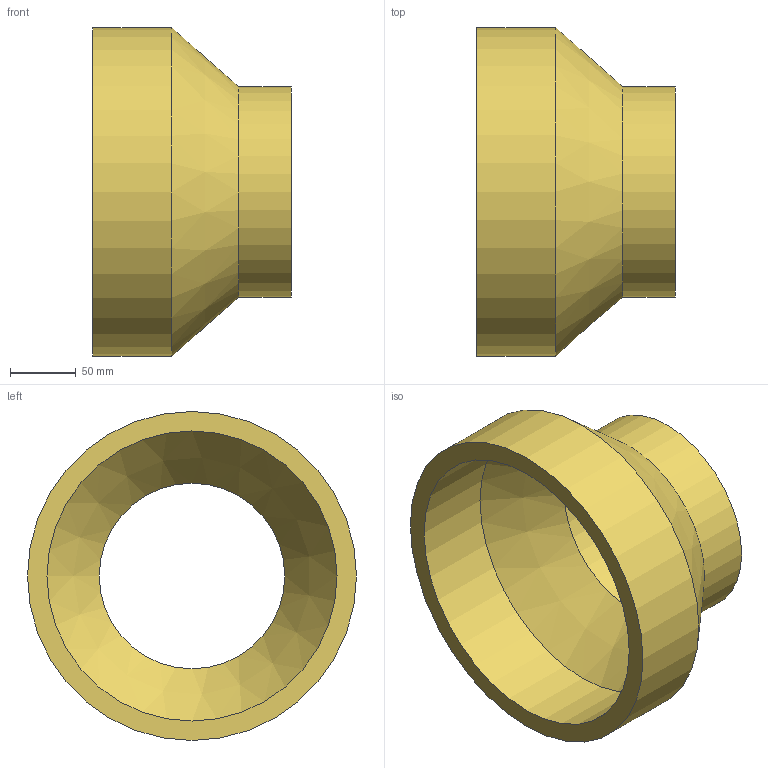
import cadquery as cq

large_outer_diameter = 250.0
large_wall = 14.8
large_length = 60.0

small_outer_diameter = 160.0
small_wall = 9.5
small_length = 40.0

cone_length = 51.0

cone_start = large_length
cone_end = cone_start + cone_length
total_length = cone_end + small_length

large_outer_radius = large_outer_diameter / 2
small_outer_radius = small_outer_diameter / 2
large_bore_radius = large_outer_radius - large_wall
small_bore_radius = small_outer_radius - small_wall


def stepped_cone(large_radius, small_radius):
    """Solid of revolution: large cylinder, cone, small cylinder along X."""
    profile = (
        cq.Workplane("XY")
        .moveTo(0, 0)
        .lineTo(0, large_radius)
        .lineTo(cone_start, large_radius)
        .lineTo(cone_end, small_radius)
        .lineTo(total_length, small_radius)
        .lineTo(total_length, 0)
        .close()
    )
    return profile.revolve(360, (0, 0, 0), (1, 0, 0))


body = stepped_cone(large_outer_radius, small_outer_radius)
bore = stepped_cone(large_bore_radius, small_bore_radius)

result = body.cut(bore)